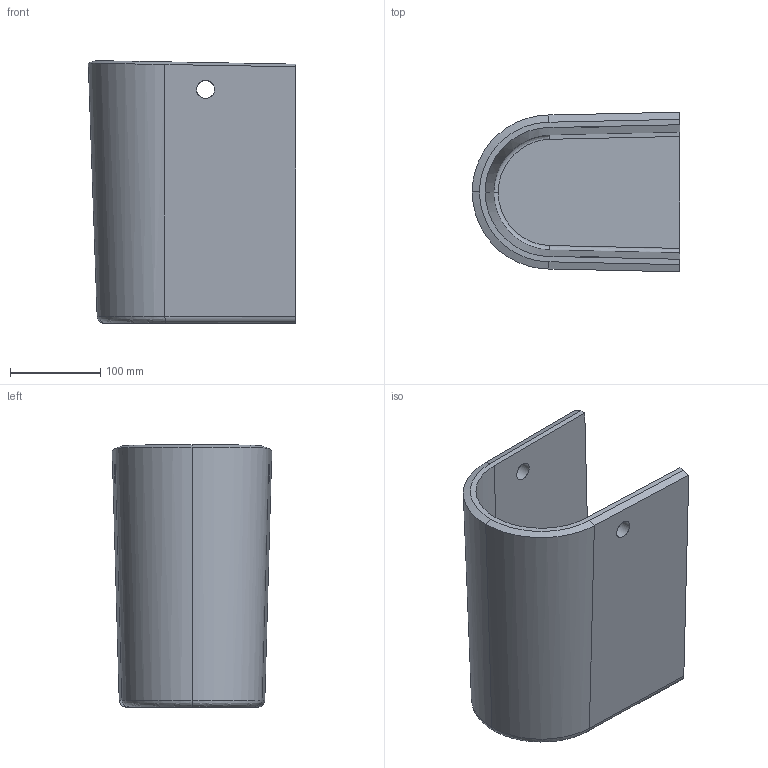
import cadquery as cq
import math


NOSE_START_X = -145.0
SIDE_SPLAY = math.tan(math.radians(1.25))

OUTER_NOSE_LENGTH = 74.96
OUTER_BACK_HALF_WIDTH = 80.52

NOSE_WALL = 14.4
SIDE_WALL = 14.0
NOSE_DRAFT = math.tan(math.radians(2.0))
SIDE_DRAFT = math.tan(math.radians(1.61))

FLOOR_THICKNESS = 15.0
BOTTOM_EDGE_RADIUS = 8.0
FLOOR_CORNER_RADIUS = 5.0

RIM_BACK_Z = 287.5
RIM_TILT_DEGREES = 1.0
RIM_CHAMFER_WIDTH = 8.0
RIM_CHAMFER_DROP = 2.9

HOLE_DIAMETER = 20.0
HOLE_X = -100.0
HOLE_Z = 259.5

OVERSHOOT = 20.0
BLANK_HEIGHT = RIM_BACK_Z + OVERSHOOT


def u_section(z, nose_length, back_half_width, end_x):
    """U outline at height z: straight sides up to end_x, and a circular nose drawn in two halves."""
    nose_half_width = back_half_width + SIDE_SPLAY * NOSE_START_X
    end_half_width = back_half_width + SIDE_SPLAY * end_x
    tip_x = NOSE_START_X - nose_length
    radius = (nose_length**2 + nose_half_width**2) / (2 * nose_length)
    centre_x = tip_x + radius
    half_angle = math.atan2(nose_half_width, centre_x - NOSE_START_X) / 2
    mid_x = centre_x - radius * math.cos(half_angle)
    mid_y = radius * math.sin(half_angle)
    return (
        cq.Workplane("XY", origin=(0, 0, z))
        .moveTo(end_x, -end_half_width)
        .lineTo(NOSE_START_X, -nose_half_width)
        .threePointArc((mid_x, -mid_y), (tip_x, 0))
        .threePointArc((mid_x, mid_y), (NOSE_START_X, nose_half_width))
        .lineTo(end_x, end_half_width)
        .close()
        .val()
    )


def drafted_section(z, inset_nose, inset_side, end_x):
    """U outline at height z, inside the outer surface by the given insets."""
    return u_section(
        z,
        OUTER_NOSE_LENGTH - inset_nose + NOSE_DRAFT * z,
        OUTER_BACK_HALF_WIDTH - inset_side + SIDE_DRAFT * z,
        end_x,
    )


def loft(lower, upper):
    return cq.Workplane(cq.Solid.makeLoft([lower, upper], True))


def round_lower_edge(body, radius):
    """Round the bottom edge all round except along the back."""
    return body.faces("<Z").edges("not(>X)").fillet(radius)


def make_blank():
    """Solid outer body, taller than the finished part."""
    blank = loft(
        drafted_section(0, 0, 0, 0),
        drafted_section(BLANK_HEIGHT, 0, 0, 0),
    )
    return round_lower_edge(blank, BOTTOM_EDGE_RADIUS)


def make_cavity():
    """Space inside the shell, reaching out past the back and above the rim."""
    cavity = loft(
        drafted_section(FLOOR_THICKNESS, NOSE_WALL, SIDE_WALL, OVERSHOOT),
        drafted_section(BLANK_HEIGHT, NOSE_WALL, SIDE_WALL, OVERSHOOT),
    )
    return round_lower_edge(cavity, FLOOR_CORNER_RADIUS)


def make_rim_cutter():
    """Everything above the sloping rim and outside its chamfer.

    It is made level and then tilted about the rim's back edge.
    A U-shaped crown, which stays on the part, is left out of a block; the crown's
    sloping flanks are the chamfer, carried on to twice its drop to run clear of the sides.
    """
    tilt = math.radians(RIM_TILT_DEGREES)
    tip_rise = (OUTER_NOSE_LENGTH + NOSE_DRAFT * RIM_BACK_Z - NOSE_START_X) * math.tan(tilt)
    nose_length = OUTER_NOSE_LENGTH + NOSE_DRAFT * (RIM_BACK_Z + tip_rise)
    back_half_width = OUTER_BACK_HALF_WIDTH + SIDE_DRAFT * RIM_BACK_Z
    crown_bottom_z = RIM_BACK_Z - 2 * RIM_CHAMFER_DROP
    nose_spread = RIM_CHAMFER_WIDTH - 2 * NOSE_DRAFT * RIM_CHAMFER_DROP
    side_spread = RIM_CHAMFER_WIDTH - 2 * SIDE_DRAFT * RIM_CHAMFER_DROP
    crown = loft(
        u_section(crown_bottom_z, nose_length + nose_spread, back_half_width + side_spread, OVERSHOOT),
        u_section(
            RIM_BACK_Z,
            nose_length - RIM_CHAMFER_WIDTH,
            back_half_width - RIM_CHAMFER_WIDTH,
            OVERSHOOT,
        ),
    )
    block_length = 2 * OVERSHOOT + nose_length - NOSE_START_X
    block_width = 2 * (back_half_width + OVERSHOOT)
    block_height = BLANK_HEIGHT + OVERSHOOT - crown_bottom_z
    block = cq.Workplane("XY").box(block_length, block_width, block_height, centered=(False, True, False))
    block = block.translate((OVERSHOOT - block_length, 0, crown_bottom_z))
    pivot = (0, 0, RIM_BACK_Z)
    pivot_end = (0, 1, RIM_BACK_Z)
    return block.cut(crown).rotate(pivot, pivot_end, RIM_TILT_DEGREES)


def make_fixing_holes():
    """One cylinder along Y that pierces both sides."""
    reach = OUTER_BACK_HALF_WIDTH + SIDE_DRAFT * HOLE_Z + OVERSHOOT
    return (
        cq.Workplane("XZ")
        .center(HOLE_X, HOLE_Z)
        .circle(HOLE_DIAMETER / 2)
        .extrude(reach, both=True)
    )


result = (
    make_blank()
    .cut(make_rim_cutter())
    .cut(make_cavity())
    .cut(make_fixing_holes())
)